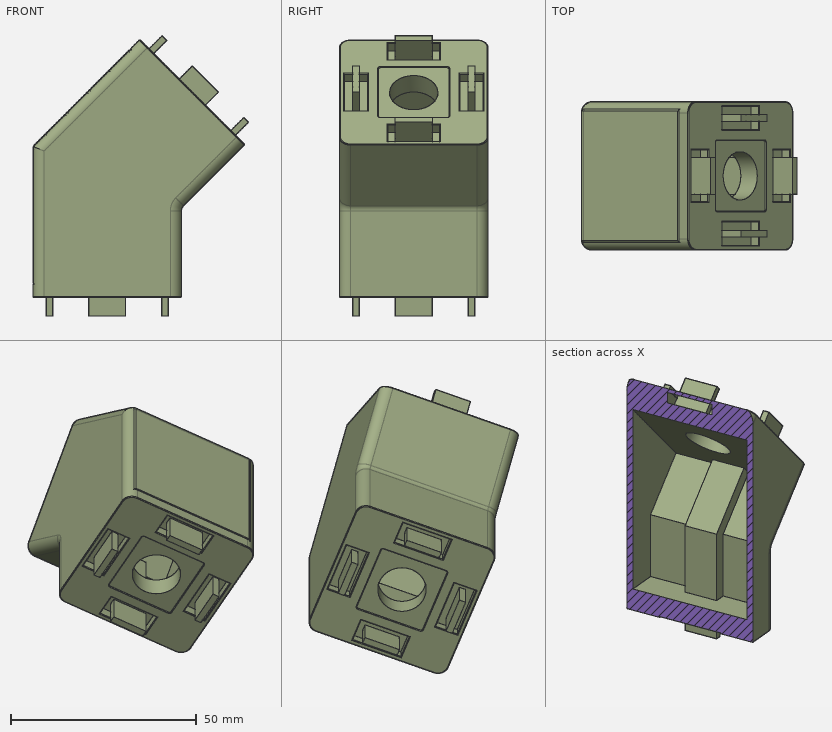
import cadquery as cq
import math

width = 40.0
outer_leg = 40.7
bend = math.radians(45)

side_radius = 3.0
bend_radius = 2.0
end_chamfer = 0.2
chamfer_angle = 45

wall = 2.05
end_wall = 6.5
cover_inset = 3.55
cover_chamfer = 0.5

bore_diameter = 13.0
recess_size = 19.4
recess_radius = 0.75

tab_length = 5.0
tab_width = 10.0
tab_thickness = 1.8
tab_inset = 4.45
tab_offset = width / 2 - tab_inset
pocket_length = 13.9
pocket_width = 6.3
pocket_depth = 3.0

end_center = cq.Vector(width / 2, 0, 0)
leg_axis = cq.Vector(math.sin(bend), 0, math.cos(bend))
leg_across = cq.Vector(math.cos(bend), 0, -math.sin(bend))
leg_end_center = cq.Vector(0, 0, outer_leg) + leg_axis * outer_leg + leg_across * (width / 2)

end_directions = [cq.Vector(0, 0, -1), leg_axis]

end_planes = [
    cq.Plane(origin=end_center, xDir=cq.Vector(1, 0, 0), normal=end_directions[0]),
    cq.Plane(origin=leg_end_center, xDir=leg_across, normal=end_directions[1]),
]


def bend_point(depth):
    """Point (x, z) on the mitre line of the bend, at a depth below the outer side."""
    return (depth, outer_leg - depth * math.tan(bend / 2))


def leg_point(depth, end_gap):
    """Point (x, z) on the upper leg, at a depth below the outer side and a gap from its end."""
    point = cq.Vector(0, 0, outer_leg) + leg_axis * (outer_leg - end_gap) + leg_across * depth
    return (point.x, point.z)


def bent_band(near, far, end_gap, band_width):
    """Bent bar between two depths below the outer side, stopping short of both ends."""
    outline = [
        (near, end_gap),
        bend_point(near),
        leg_point(near, end_gap),
        leg_point(far, end_gap),
        bend_point(far),
        (far, end_gap),
    ]
    return cq.Workplane("XZ").polyline(outline).close().extrude(band_width / 2, both=True)


def edge_across_bend(depth):
    """Selector for the edge along Y where the bend is sharp at a depth."""
    x, z = bend_point(depth)
    return cq.selectors.NearestToPointSelector((x, 0, z))


def pocket_cutter(plane, x, y, x_size, y_size):
    """Rectangular pocket with a chamfered mouth."""
    pocket = cq.Workplane(plane).center(x, y).rect(x_size, y_size).extrude(-pocket_depth)
    mouth = (
        cq.Workplane(plane)
        .center(x, y)
        .rect(x_size + 2 * end_chamfer, y_size + 2 * end_chamfer)
        .extrude(-end_chamfer, taper=chamfer_angle)
    )
    return pocket.union(mouth)


def tab(plane, x, y, x_size, y_size):
    """Flat tab rising from the floor of its pocket."""
    return (
        cq.Workplane(plane)
        .workplane(offset=-pocket_depth)
        .center(x, y)
        .rect(x_size, y_size)
        .extrude(pocket_depth + tab_length)
    )


def add_end_features(body, plane):
    """Square recess, bore into the cavity, and a pocketed tab along each side of an end face."""
    recess = (
        cq.Workplane(plane)
        .sketch()
        .rect(recess_size, recess_size)
        .vertices()
        .fillet(recess_radius)
        .finalize()
        .extrude(-end_chamfer, taper=chamfer_angle)
    )
    bore = cq.Workplane(plane).circle(bore_diameter / 2).extrude(-end_wall)
    body = body.cut(recess).cut(bore)
    for side in (-1, 1):
        offset = side * tab_offset
        body = body.cut(pocket_cutter(plane, offset, 0, pocket_width, pocket_length))
        body = body.cut(pocket_cutter(plane, 0, offset, pocket_length, pocket_width))
        body = body.union(tab(plane, offset, 0, tab_thickness, tab_width))
        body = body.union(tab(plane, 0, offset, tab_width, tab_thickness))
    return body


def furthest_face(direction):
    """Selector for the face lying furthest along a direction."""
    return cq.selectors.DirectionMinMaxSelector(direction, True)


def make_housing():
    """Hollow bent duct, open where the cover sits, with a rib along its inner wall between the tabs."""
    body = bent_band(0, width, 0, width).edges(edge_across_bend(width)).fillet(bend_radius)
    end_edges = [edge for out in end_directions for edge in body.faces(furthest_face(out)).val().Edges()]
    lengthwise_edges = [
        edge
        for edge in body.faces("<Y or >Y").edges().vals()
        if not any(edge.isSame(end_edge) for end_edge in end_edges)
    ]
    body = body.newObject(lengthwise_edges).fillet(side_radius)
    for out in end_directions:
        body = body.faces(furthest_face(out)).chamfer(end_chamfer)

    cavity = bent_band(wall, width - wall, end_wall, width - 2 * wall)
    cover_seat = bent_band(0, wall, cover_inset, width - 2 * wall)
    body = body.cut(cavity).cut(cover_seat)
    rib_top = width / 2 + tab_offset - tab_thickness / 2
    body = body.union(bent_band(rib_top, width - wall, end_wall, tab_width))
    for plane in end_planes:
        body = add_end_features(body, plane)
    return body


def make_cover():
    """Bent plate closing the outer side, chamfered around the rim of its outer surface."""
    plate = bent_band(0, wall, cover_inset, width - 2 * wall)
    plate = plate.edges(edge_across_bend(0)).fillet(bend_radius)
    outer_faces = [
        plate.faces(furthest_face(cq.Vector(-1, 0, 0))).val(),
        plate.faces("%CYLINDER").val(),
        plate.faces(furthest_face(leg_across * -1)).val(),
    ]
    outer_edges = [edge for face in outer_faces for edge in face.Edges()]
    rim = [edge for edge in outer_edges if sum(edge.isSame(other) for other in outer_edges) == 1]
    return plate.newObject(rim).chamfer(cover_chamfer)


housing = make_housing()
cover = make_cover()
result = cq.Compound.makeCompound([housing.val(), cover.val()])